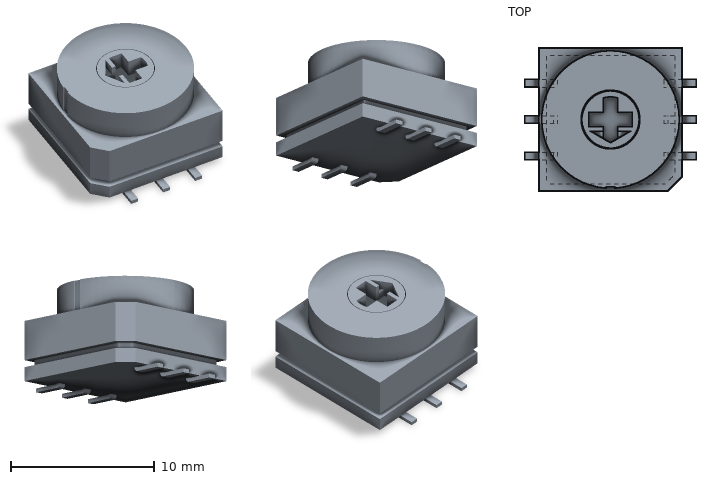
import cadquery as cq
import math

overall_length = 12.0
overall_height = 6.8

housing_side = 10.0
corner_cut = 1.0
base_height = 1.0
waist_height = 0.5
waist_inset = 0.5
body_height = 2.8

rotor_diameter = 9.6
hub_diameter = 4.0
hub_bore_diameter = 4.1
marker_width = 0.6
marker_depth = 0.1

recess_depth = 1.3
cross_arm_width = 1.02
cross_length = 3.02
cross_end_radius = 1.58
arrow_depth = 0.7
arrow_base_y = -0.8
arrow_half_width = 1.4
arrow_slope = 30.0

terminal_count = 3
terminal_pitch = 2.55
terminal_width = 0.55
terminal_thickness = 0.28
terminal_foot_length = 2.29
foot_clearance = 0.04

base_bottom = terminal_thickness + foot_clearance
waist_bottom = base_bottom + base_height
body_bottom = waist_bottom + waist_height
rotor_bottom = body_bottom + body_height
rotor_height = overall_height - rotor_bottom


def housing_layer(inset, bottom, height):
    """Square slab with the +X -Y corner cut; every side is moved inward by the inset."""
    side = housing_side - 2 * inset
    cut = corner_cut - inset * (2 - math.sqrt(2))
    return (
        cq.Workplane("XY", origin=(0, 0, bottom))
        .rect(side, side)
        .extrude(height)
        .edges("|Z and >X and <Y")
        .chamfer(cut)
    )


def make_housing():
    base = housing_layer(0, base_bottom, base_height)
    waist = housing_layer(waist_inset, waist_bottom, waist_height)
    body = housing_layer(0, body_bottom, body_height)
    return base.union(waist).union(body)


def make_rotor():
    """Disc with a marker groove down its -Y side and a narrow ring gap around the hub."""
    disc = cq.Workplane("XY", origin=(0, 0, rotor_bottom)).circle(rotor_diameter / 2).extrude(rotor_height)
    marker = (
        cq.Workplane("XY", origin=(0, -rotor_diameter / 2, rotor_bottom))
        .rect(marker_width, 2 * marker_depth)
        .extrude(rotor_height)
    )
    hub_gap = (
        cq.Workplane("XY", origin=(0, 0, overall_height))
        .circle(hub_bore_diameter / 2)
        .circle(hub_diameter / 2)
        .extrude(-recess_depth)
    )
    return disc.cut(marker).cut(hub_gap)


def make_recess():
    """Cutter for the cross, its pointed -Y arm and the arrowhead wings."""
    top = cq.Workplane("XY", origin=(0, 0, overall_height))
    half_arm = cross_arm_width / 2
    slope = math.tan(math.radians(arrow_slope))
    tip_y = arrow_base_y - arrow_half_width * slope
    shoulder_y = tip_y + half_arm * slope
    arm_end_y = math.sqrt(cross_end_radius**2 - half_arm**2)

    long_arm = (
        top.moveTo(half_arm, arm_end_y)
        .threePointArc((0, cross_end_radius), (-half_arm, arm_end_y))
        .lineTo(-half_arm, shoulder_y)
        .lineTo(0, tip_y)
        .lineTo(half_arm, shoulder_y)
        .close()
        .extrude(-recess_depth)
    )
    cross_arm = top.rect(cross_length, cross_arm_width).extrude(-recess_depth)
    arrowhead = (
        top.moveTo(-arrow_half_width, arrow_base_y)
        .lineTo(arrow_half_width, arrow_base_y)
        .lineTo(0, tip_y)
        .close()
        .extrude(-arrow_depth)
    )
    return long_arm.union(cross_arm).union(arrowhead)


def make_terminal(y):
    """Flat foot on the -X side, bent up into the base at its inner end."""
    outer_x = -overall_length / 2
    inner_x = outer_x + terminal_foot_length
    bend_x = inner_x - terminal_thickness
    bend_mid = terminal_thickness * math.sqrt(0.5)
    riser_top = base_bottom + base_height / 2
    return (
        cq.Workplane("XZ", origin=(0, y + terminal_width / 2, 0))
        .moveTo(outer_x, 0)
        .lineTo(bend_x, 0)
        .threePointArc(
            (bend_x + bend_mid, terminal_thickness - bend_mid),
            (inner_x, terminal_thickness),
        )
        .lineTo(inner_x, riser_top)
        .lineTo(bend_x, riser_top)
        .lineTo(bend_x, terminal_thickness)
        .lineTo(outer_x, terminal_thickness)
        .close()
        .extrude(terminal_width)
    )


result = make_housing().union(make_rotor()).cut(make_recess())
for index in range(terminal_count):
    terminal = make_terminal((index - (terminal_count - 1) / 2) * terminal_pitch)
    result = result.union(terminal).union(terminal.mirror("YZ"))